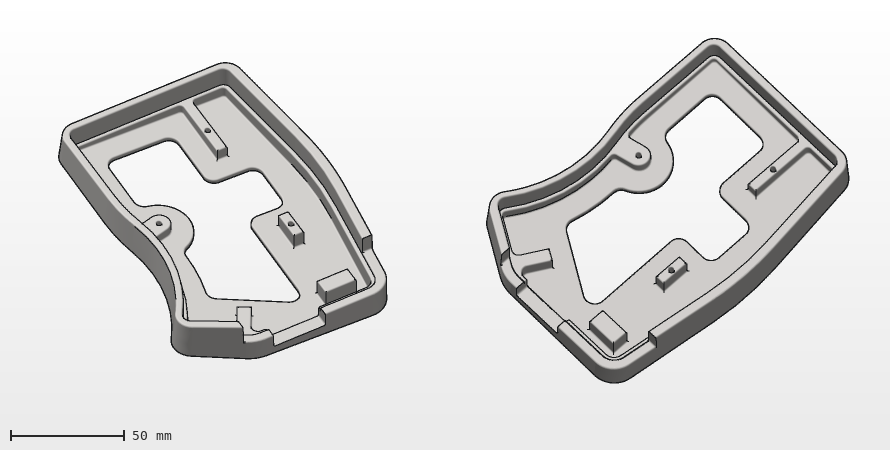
import cadquery as cq
import math


half_length = 74.28
front_y = -44.4
back_corner_y = 45.2
back_apex_y = 54.57
back_apex_radius = 150.0
left_corner_radius = 9.0
back_right_radius = 12.0
nose_center = (52.0, -44.3)
nose_radius = 9.0
nose_side_angle = 30.0
nose_side_radius = 18.0
hollow_center = (9.5, -106.0)
hollow_radius = math.dist(hollow_center, nose_center) - nose_radius
hollow_run_in_radius = 83.0

tilt_x = 0.0285
tilt_y = 0.0435
underside_z = -18.19
floor_thickness = 2.0
wall_draft = 3.4
upper_wall = 5.2
lower_wall = 7.1
shelf_z = -10.3
rim_edge_radius = 0.8
inner_edge_radius = 0.7

notch_corner = (49.5, -28.5)
notch_z = -8.9
slot_x = 60.0
slot_y_range = (-15.2, 10.9)
slot_z = -15.6
slot_root_radius = 1.0
slot_edge_radius = 0.9

pilot_diameter = 2.42
pilot_mouth_radius = 0.5
rib_y = 20.0
rib_width = 5.0
rib_end_x = -35.3
rib_pilot_x = -48.3
rib_root_radius = 2.0
boss_center = (-10.3, -25.7)
boss_radius = 5.2
nose_rib_end = (51.2, -17.25)
nose_rib_width = 6.4
nose_rib_root_radius = 3.0
post_center = (18.05, 24.8)
post_size = (14.1, 4.9)
block_center = (57.4, 25.75)
block_size = (8.0, 15.3)

window_left_x = -56.8
window_bottom_y = -27.4
window_left_top_y = 7.5
window_right_top_y = 11.9
window_neck_x = (-24.8, 1.2)
window_neck_top_y = 32.0
window_side_point = (48.7, -1.2)
window_bump_radius = 15.2
window_hollow_radius = hollow_radius + 17.6
window_corner_radius = 5.0

reach = 100.0
tolerance = 0.01

floor_normal = cq.Vector(tilt_x, tilt_y, 1).normalized()
floor_plane = cq.Plane(
    origin=(0, 0, underside_z), xDir=(1, 0, -tilt_x), normal=floor_normal.toTuple()
)


def polar(center, radius, degrees):
    angle = math.radians(degrees)
    return (center[0] + radius * math.cos(angle), center[1] + radius * math.sin(angle))


def direction(start, end):
    return math.degrees(math.atan2(end[1] - start[1], end[0] - start[0]))


def distance_along(point, degrees):
    """Distance of a point from the origin, measured in the given direction."""
    angle = math.radians(degrees)
    return point[0] * math.cos(angle) + point[1] * math.sin(angle)


def arc_points(center, radius, start, end):
    """Start, middle and end point of an arc given by its end angles."""
    return [polar(center, radius, angle) for angle in (start, (start + end) / 2, end)]



def back_corner_center(side, radius):
    """Centre of the rounding between a side wall (-1 left, +1 right) and its back wall."""
    slope = math.atan2(back_apex_y - back_corner_y, half_length)
    x = half_length - radius
    y = back_corner_y + radius * math.tan(slope) - radius / math.cos(slope)
    return (side * x, y)


def run_in_center():
    """Centre of the bend that touches the straight front wall and the hollow."""
    y = front_y + hollow_run_in_radius
    center_distance = hollow_radius + hollow_run_in_radius
    x = hollow_center[0] - math.sqrt(center_distance**2 - (y - hollow_center[1]) ** 2)
    return (x, y)


def nose_side_center():
    """Centre of the bend that touches the nose side wall and the right wall."""
    side = math.radians(nose_side_angle)
    wall_distance = distance_along(nose_center, -nose_side_angle) + nose_radius
    x = half_length - nose_side_radius
    y = (x * math.cos(side) + nose_side_radius - wall_distance) / math.sin(side)
    return (x, y)


def outline_arcs():
    """Arcs of the outline, counter-clockwise from the front left corner."""
    lean = direction((0, back_corner_y), (half_length, back_apex_y))
    front_left = (left_corner_radius - half_length, front_y + left_corner_radius)
    back_apex = (0, back_apex_y - back_apex_radius / math.cos(math.radians(lean)))
    back_right = back_corner_center(1, back_right_radius)
    back_left = back_corner_center(-1, left_corner_radius)
    run_in = run_in_center()
    hollow_start = direction(hollow_center, run_in)
    hollow_end = direction(hollow_center, nose_center)
    return [
        arc_points(front_left, left_corner_radius, 180, 270),
        arc_points(run_in, hollow_run_in_radius, -90, hollow_start - 180),
        arc_points(hollow_center, hollow_radius, hollow_start, hollow_end),
        arc_points(nose_center, nose_radius, hollow_end - 180, -nose_side_angle),
        arc_points(nose_side_center(), nose_side_radius, -nose_side_angle, 0),
        arc_points(back_right, back_right_radius, 0, 90 - lean),
        arc_points(back_apex, back_apex_radius, 90 - lean, 90 + lean),
        arc_points(back_left, left_corner_radius, 90 + lean, 180),
    ]


def draw_outline(workplane):
    """Draw the outline; straight walls join the arcs that do not touch."""
    arcs = outline_arcs()
    pen = arcs[0][0]
    sketch = workplane.moveTo(*pen)
    for start, middle, end in arcs:
        if math.dist(pen, start) > tolerance:
            sketch = sketch.lineTo(*start)
        sketch = sketch.threePointArc(middle, end)
        pen = end
    return sketch.close()



def box_from(corner, size):
    return cq.Workplane("XY", origin=corner).box(*size, centered=False)


def tall_block(center, size):
    return cq.Workplane("XY", origin=(*center, -reach)).rect(*size).extrude(reach)


def tall_cylinder(center, radius):
    return cq.Workplane("XY", origin=(*center, -reach)).circle(radius).extrude(reach)


def tall_bar(start, degrees, width, length):
    """Upright bar that runs from a point in the given direction."""
    bar = cq.Workplane("XY").box(length, width, reach, centered=(False, True, False))
    return bar.rotate((0, 0, 0), (0, 0, 1), degrees).translate((*start, -reach))


def body():
    """Solid case with drafted walls, cut flat at the rim."""
    blank = draw_outline(cq.Workplane(floor_plane)).extrude(reach / 3, taper=wall_draft)
    return blank.cut(box_from((-reach, -reach, 0), (2 * reach, 2 * reach, reach)))


def pocket(wall, bottom_z, top_z):
    inside = draw_outline(cq.Workplane("XY", origin=(0, 0, bottom_z))).offset2D(-wall)
    return inside.extrude(top_z - bottom_z)


def round_roots(space, points, radius):
    """Round the upright edges of a cutter nearest to the given points."""
    for x, y in points:
        nearest = cq.selectors.NearestToPointSelector((x, y, shelf_z))
        space = space.edges("|Z").edges(nearest).fillet(radius)
    return space


def leave_rib(space):
    rib = tall_bar((rib_end_x, rib_y), 180, rib_width, rib_end_x + half_length)
    wall_x = lower_wall - half_length
    roots = [(wall_x, rib_y + side * rib_width / 2) for side in (-1, 1)]
    return round_roots(space.cut(rib), roots, rib_root_radius)


def leave_boss(space):
    """Round-ended boss that reaches out from the concave front wall."""
    inward = direction(hollow_center, boss_center)
    wall_radius = hollow_radius + lower_wall
    length = math.dist(hollow_center, boss_center) - hollow_radius
    arm = tall_bar(boss_center, inward + 180, 2 * boss_radius, length)
    boss = arm.union(tall_cylinder(boss_center, boss_radius))
    half_angle = math.degrees(math.asin(boss_radius / wall_radius))
    roots = [polar(hollow_center, wall_radius, inward + side * half_angle) for side in (-1, 1)]
    return round_roots(space.cut(boss), roots, rib_root_radius)


def leave_nose_rib(space):
    """Rib that stands square to the nose side wall."""
    outward = -nose_side_angle
    to_wall = distance_along(nose_center, outward) + nose_radius - distance_along(nose_rib_end, outward)
    rib = tall_bar(nose_rib_end, outward, nose_rib_width, to_wall)
    foot = polar(nose_rib_end, to_wall - lower_wall, outward)
    roots = [polar(foot, nose_rib_width / 2, outward + side * 90) for side in (-1, 1)]
    return round_roots(space.cut(rib), roots, nose_rib_root_radius)


def lower_pocket():
    """Space between floor and shelf, without the ribs, the boss and the blocks."""
    space = pocket(lower_wall, -reach, shelf_z)
    space = leave_rib(space)
    space = leave_boss(space)
    space = leave_nose_rib(space)
    space = space.cut(tall_block(post_center, post_size))
    space = space.cut(tall_block(block_center, block_size))
    floor_top = cq.Workplane(floor_plane).workplane(offset=floor_thickness)
    return space.cut(floor_top.rect(3 * reach, 3 * reach).extrude(-reach))


def window():
    """Cutter for the floor opening, square to the tilted floor."""
    base = cq.Workplane(floor_plane).workplane(offset=-floor_thickness)
    depth = 3 * floor_thickness
    side_x, side_y = window_side_point
    side_slope = math.tan(math.radians(nose_side_angle))
    neck_left, neck_right = window_neck_x
    opening = base.polyline([
        (window_left_x, window_bottom_y),
        (side_x + side_slope * (window_bottom_y - side_y), window_bottom_y),
        (side_x + side_slope * (window_right_top_y - side_y), window_right_top_y),
        (neck_right, window_right_top_y),
        (neck_right, window_neck_top_y),
        (neck_left, window_neck_top_y),
        (neck_left, window_left_top_y),
        (window_left_x, window_left_top_y),
    ]).close().extrude(depth)
    bump = base.moveTo(*boss_center).circle(window_bump_radius).extrude(depth)
    hollow = base.moveTo(*hollow_center).circle(window_hollow_radius).extrude(depth)
    opening = opening.cut(bump).cut(hollow)
    return opening.edges(cq.selectors.ParallelDirSelector(floor_normal)).fillet(window_corner_radius)



def faces_at(part, z):
    """Flat faces that lie wholly at the given level."""
    low = (-reach, -reach, z - tolerance)
    high = (reach, reach, z + tolerance)
    return part.faces(cq.selectors.BoxSelector(low, high, boundingbox=True)).vals()


def floor_face(part):
    """The upper face of the floor."""
    faces = part.faces("%PLANE").vals()
    return next(face for face in faces if (face.normalAt() - floor_normal).Length < tolerance)


def round_floor_edges(part):
    return part.newObject(floor_face(part).Edges()).fillet(inner_edge_radius)


def round_shelf_edges(part):
    """Round the inner loop of the shelf and the tops of the free-standing blocks."""
    edges = []
    for face in faces_at(part, shelf_z):
        for wire in face.innerWires() or [face.outerWire()]:
            edges += wire.Edges()
    return part.newObject(edges).fillet(inner_edge_radius)


def cut_window(part):
    part = part.cut(window())
    rim = max(floor_face(part).innerWires(), key=lambda wire: wire.Length())
    return part.newObject(rim.Edges()).fillet(inner_edge_radius)


def cut_notch(part):
    """Lower the rim at the back right, then round the rim edges and the notch roots."""
    part = part.cut(box_from((*notch_corner, notch_z), (reach, reach, reach)))

    def is_rim_end(edge):
        box = edge.BoundingBox()
        across_back = box.xlen < tolerance and abs(box.xmin - notch_corner[0]) < tolerance
        across_side = box.ylen < tolerance and abs(box.ymin - notch_corner[1]) < tolerance
        return across_back or across_side

    edges = [edge for face in faces_at(part, notch_z) for edge in face.Edges()]
    for face in faces_at(part, 0):
        edges += [edge for edge in face.Edges() if not is_rim_end(edge)]
    return part.newObject(edges).fillet(rim_edge_radius)


def cut_slot(part):
    """Cut the slot through the right wall and round the wall edges along it."""
    slot_start, slot_end = slot_y_range
    cutter = box_from((slot_x, slot_start, slot_z), (reach, slot_end - slot_start, reach))
    part = part.cut(cutter.edges("<Z and |X").fillet(slot_root_radius))
    wall_edges = part.newObject(faces_at(part, slot_z)).edges("|Y").vals()
    return part.newObject(wall_edges).fillet(slot_edge_radius)


def drill_pilots(part):
    """Drill the pilot holes through the rib, the boss and the post, with rounded mouths."""
    for center in (post_center, (rib_pilot_x, rib_y), boss_center):
        part = part.cut(tall_cylinder(center, pilot_diameter / 2))
        mouth = cq.selectors.NearestToPointSelector((*center, shelf_z))
        part = part.edges("%CIRCLE").edges(mouth).fillet(pilot_mouth_radius)
    return part


case = body().cut(pocket(upper_wall, shelf_z, reach)).cut(lower_pocket())
case = round_floor_edges(case)
case = round_shelf_edges(case)
case = cut_window(case)
case = cut_notch(case)
case = cut_slot(case)
result = drill_pilots(case)